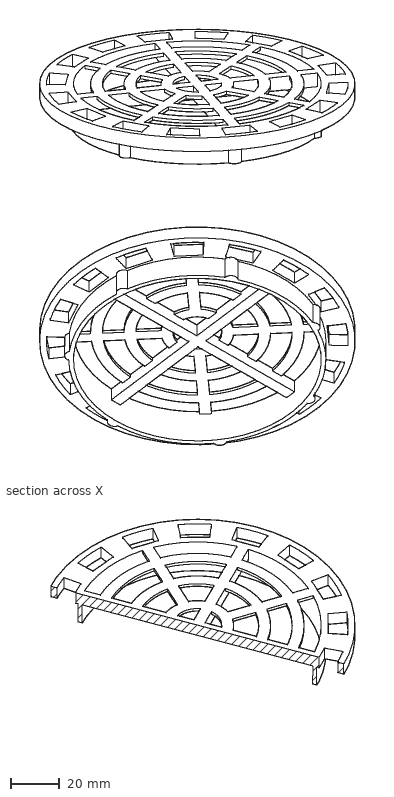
import cadquery as cq
import math

RIM_DIAMETER = 130.0
RIM_HEIGHT = 6.0

TOTAL_HEIGHT = 16.0
BORE_DIAMETER = 102.0
SKIRT_WALL = 2.0
SKIRT_DIAMETER = BORE_DIAMETER + 2 * SKIRT_WALL

LUG_COUNT = 7
LUG_RADIUS = 3.0
LUG_CENTER_RADIUS = 51.7

WINDOW_COUNT = 16
WINDOW_INNER_DISTANCE = 54.0
WINDOW_OUTER_RADIUS = 62.1
WINDOW_ANGLE = 12.7

BAR_WIDTH = 5.0
THIN_HEIGHT = 1.4
RING_OUTER_DIAMETERS = (30.0, 60.5, 88.0)
BAR_OVERLAP = 0.6

TOP = 0.0


def tube(outer_diameter, inner_diameter, height, top=TOP):
    """Upright tube hanging down from the given level."""
    return (
        cq.Workplane("XY", origin=(0, 0, top))
        .circle(outer_diameter / 2)
        .circle(inner_diameter / 2)
        .extrude(-height)
    )


def radial_bar(start_radius, height, angle):
    """Straight grid bar from a start radius out to the rim."""
    length = BORE_DIAMETER / 2 + BAR_OVERLAP - start_radius
    bar = (
        cq.Workplane("XY", origin=(0, 0, TOP))
        .center(start_radius + length / 2, 0)
        .rect(length, BAR_WIDTH)
        .extrude(-height)
    )
    return bar.rotate((0, 0, 0), (0, 0, 1), angle)


def rim_window(angle):
    """Cutter for one rim window."""
    half_angle = math.radians(WINDOW_ANGLE / 2)
    inner_y = WINDOW_INNER_DISTANCE * math.tan(half_angle)
    outer_x = WINDOW_OUTER_RADIUS * math.cos(half_angle)
    outer_y = WINDOW_OUTER_RADIUS * math.sin(half_angle)
    cutter = (
        cq.Workplane("XY", origin=(0, 0, TOP))
        .moveTo(WINDOW_INNER_DISTANCE, -inner_y)
        .lineTo(outer_x, -outer_y)
        .threePointArc((WINDOW_OUTER_RADIUS, 0), (outer_x, outer_y))
        .lineTo(WINDOW_INNER_DISTANCE, inner_y)
        .close()
        .extrude(-RIM_HEIGHT)
    )
    return cutter.rotate((0, 0, 0), (0, 0, 1), angle)


def skirt_with_lugs():
    """Skirt and its lugs, with the lugs trimmed flush with the bore."""
    height = TOTAL_HEIGHT - RIM_HEIGHT
    bottom = TOP - TOTAL_HEIGHT
    skirt = cq.Workplane("XY", origin=(0, 0, bottom)).circle(SKIRT_DIAMETER / 2).extrude(height)
    lugs = (
        cq.Workplane("XY", origin=(0, 0, bottom))
        .polarArray(LUG_CENTER_RADIUS, 0, 360, LUG_COUNT)
        .circle(LUG_RADIUS)
        .extrude(height)
    )
    bore = cq.Workplane("XY", origin=(0, 0, bottom)).circle(BORE_DIAMETER / 2).extrude(height)
    return skirt.union(lugs).cut(bore)


rim = tube(RIM_DIAMETER, BORE_DIAMETER, RIM_HEIGHT)
for index in range(WINDOW_COUNT):
    rim = rim.cut(rim_window(index * 360 / WINDOW_COUNT))

result = rim.union(skirt_with_lugs())

for outer_diameter in RING_OUTER_DIAMETERS:
    result = result.union(tube(outer_diameter, outer_diameter - 2 * BAR_WIDTH, THIN_HEIGHT))

diagonal_start = RING_OUTER_DIAMETERS[0] / 2 - BAR_WIDTH / 2
for quarter in range(4):
    angle = quarter * 90
    result = result.union(radial_bar(0, RIM_HEIGHT, angle))
    result = result.union(radial_bar(diagonal_start, THIN_HEIGHT, angle + 45))